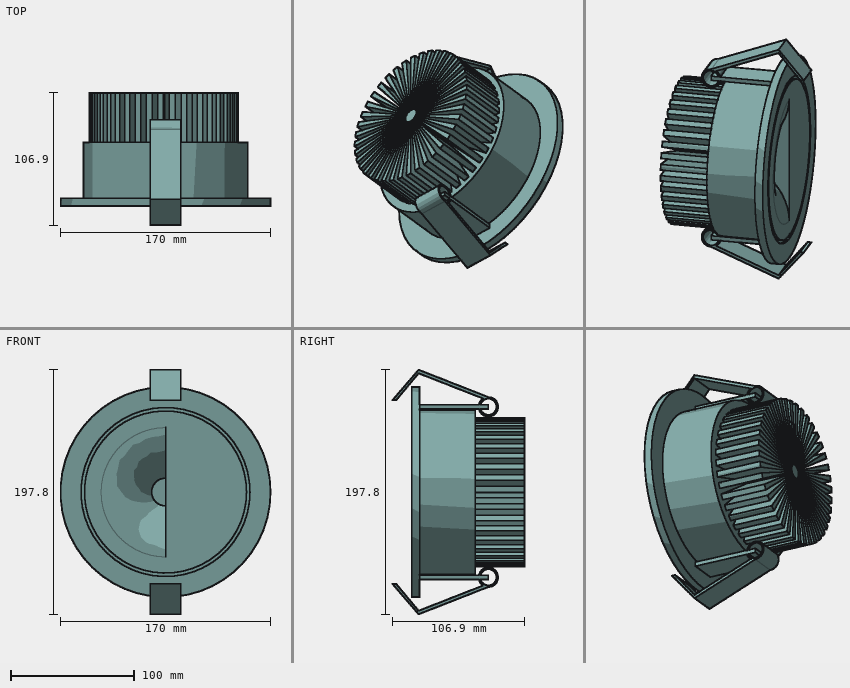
import math
import cadquery as cq


FLANGE_RADIUS = 85.0
FLANGE_THICKNESS = 6.5
BODY_RADIUS = 66.5
BODY_BACK = 51.5

GROOVE_OUTER_RADIUS = 68.3
GROOVE_INNER_RADIUS = 65.5
GROOVE_DEPTH = 2.0

CUP_RIM_RADIUS = 52.3
CUP_FLOOR_RADIUS = 11.2
CUP_DEPTH = 25.6
CUP_MID_RADIUS = 27.1
CUP_MID_DEPTH = 8.0

FIN_COUNT = 40
FIN_RADIUS = 60.2
FIN_LENGTH = 40.0
HUB_RADIUS = 6.0
GAP_OVERCUT = 1.0
HEAT_SINK_OFFSET_X = -1.5
FIN_PITCH = 360.0 / FIN_COUNT
FIN_ANGLE = FIN_PITCH / 2

CLIP_WIDTH = 24.7
COIL_CENTER_Y = 62.1
COIL_CENTER_Z = 68.9
COIL_RADIUS = 7.9
COIL_WALL = 1.4
TAB_THICKNESS = 3.6
CLIP_HEIGHT = 98.88
ARM_BEND_Y = 5.7
ARM_DROP = 3.0
TIP_Y = -15.4
TIP_Z = 74.3
TIP_LENGTH = 3.1


def disc(radius, front, back):
    """Solid cylinder on the Y axis between two depths."""
    return cq.Workplane("XZ", origin=(0, front, 0)).circle(radius).extrude(front - back)


def groove():
    """Ring cut into the front face."""
    outer = disc(GROOVE_OUTER_RADIUS, 0, GROOVE_DEPTH)
    inner = disc(GROOVE_INNER_RADIUS, 0, GROOVE_DEPTH)
    return outer.cut(inner)


def reflector_cup():
    """Half a bell-shaped recess, flat along the X = 0 plane."""
    profile = (
        cq.Workplane("XY")
        .moveTo(0, 0)
        .lineTo(-CUP_RIM_RADIUS, 0)
        .threePointArc((-CUP_MID_RADIUS, CUP_MID_DEPTH), (-CUP_FLOOR_RADIUS, CUP_DEPTH))
        .lineTo(0, CUP_DEPTH)
        .close()
    )
    full_cup = profile.revolve(360, (0, 0, 0), (0, 1, 0))
    size = 2 * CUP_RIM_RADIUS
    left_half = cq.Workplane("XY").box(size, size, size).translate((-size / 2, 0, 0))
    return full_cup.intersect(left_half)


def on_circle(radius, angle):
    """Point at an angle in degrees on a circle about the origin."""
    return (radius * math.cos(math.radians(angle)), radius * math.sin(math.radians(angle)))


def heat_sink():
    """Disc slotted by V-shaped gaps, leaving equal wedge fins on a hub."""
    sink = disc(FIN_RADIUS, BODY_BACK, BODY_BACK + FIN_LENGTH)
    gap_outer_radius = FIN_RADIUS + GAP_OVERCUT
    gaps = cq.Workplane("XZ", origin=(0, BODY_BACK, 0))
    for index in range(FIN_COUNT):
        start = index * FIN_PITCH + FIN_ANGLE
        end = start + FIN_ANGLE
        gaps = (
            gaps.moveTo(*on_circle(HUB_RADIUS, start))
            .lineTo(*on_circle(gap_outer_radius, start))
            .lineTo(*on_circle(gap_outer_radius, end))
            .lineTo(*on_circle(HUB_RADIUS, end))
            .close()
        )
    sink = sink.cut(gaps.extrude(-FIN_LENGTH))
    return sink.translate((HEAT_SINK_OFFSET_X, 0, 0))


def clip_strip(outline):
    """Clip side outline given the full clip width, centred on X = 0."""
    return outline.extrude(CLIP_WIDTH / 2, both=True)


def spring_clip():
    """Upper clip: straight tab, rolled coil and bent spring arm."""
    plane = cq.Workplane("YZ")
    tab_length = COIL_CENTER_Y - FLANGE_THICKNESS / 2
    tab = clip_strip(
        plane.center(COIL_CENTER_Y - tab_length / 2, COIL_CENTER_Z).rect(tab_length, TAB_THICKNESS)
    )
    coil = clip_strip(
        plane.center(COIL_CENTER_Y, COIL_CENTER_Z)
        .circle(COIL_RADIUS)
        .circle(COIL_RADIUS - COIL_WALL)
    )

    coil_top = COIL_CENTER_Z + COIL_RADIUS
    arm = clip_strip(
        plane.moveTo(COIL_CENTER_Y, coil_top)
        .lineTo(ARM_BEND_Y, CLIP_HEIGHT)
        .lineTo(TIP_Y, TIP_Z)
        .lineTo(TIP_Y + TIP_LENGTH, TIP_Z)
        .lineTo(ARM_BEND_Y, CLIP_HEIGHT - ARM_DROP)
        .lineTo(COIL_CENTER_Y, coil_top - ARM_DROP)
        .close()
    )
    bore = clip_strip(plane.center(COIL_CENTER_Y, COIL_CENTER_Z).circle(COIL_RADIUS - COIL_WALL))
    return coil.union(arm.cut(bore)).union(tab)


flange = disc(FLANGE_RADIUS, 0, FLANGE_THICKNESS)
body = disc(BODY_RADIUS, 0, BODY_BACK)
upper_clip = spring_clip()
lower_clip = upper_clip.mirror("XY")

result = flange.union(body).cut(groove()).cut(reflector_cup())
result = result.union(heat_sink()).union(upper_clip).union(lower_clip)